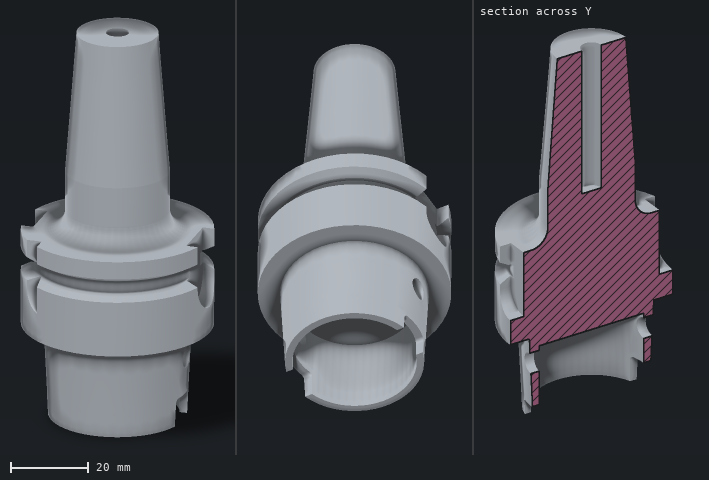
import cadquery as cq
import math

total_height = 105.0

taper_length = 25.0
taper_base_radius = 19.2
taper_slope = 0.05
taper_end_radius = taper_base_radius - taper_slope * taper_length
hollow_radius = 16.1
hollow_depth = 22.0
cross_hole_diameter = 6.0
cross_hole_height = 17.7
tool_bore_diameter = 6.0
tool_bore_depth = 42.0

flange_radius = 25.0
flange_width = 26.0
flange_top = taper_length + flange_width
groove_radius = 21.4
groove_flank_inner_radius = 22.4
groove_floor_width = 3.5
groove_height = taper_length + 18.1
groove_flank_rise = 1.5

neck_radius = 13.5
neck_fillet = 5.0
nose_cone_start = 67.1
nose_tip_radius = 10.6

flange_slot_floor = 20.9
flange_slot_bottom = 32.2
narrow_slot_width = 12.0
wide_slot_width = 14.0
notch_inner_x = -15.5
notch_inner_y = -15.5

drive_slot_width = 10.3
drive_slot_corner_radius = 1.0
short_drive_slot_height = 4.7
tall_drive_slot_height = 7.5


def turned_body():
    groove_low = groove_height - groove_floor_width / 2
    groove_high = groove_height + groove_floor_width / 2
    arc_offset = neck_fillet * (1 - math.sqrt(0.5))
    return (
        cq.Workplane("XZ")
        .moveTo(0, 0)
        .lineTo(taper_end_radius, 0)
        .lineTo(taper_base_radius, taper_length)
        .lineTo(flange_radius, taper_length)
        .lineTo(flange_radius, groove_low - groove_flank_rise)
        .lineTo(groove_flank_inner_radius, groove_low)
        .lineTo(groove_radius, groove_low)
        .lineTo(groove_radius, groove_high)
        .lineTo(groove_flank_inner_radius, groove_high)
        .lineTo(flange_radius, groove_high + groove_flank_rise)
        .lineTo(flange_radius, flange_top)
        .lineTo(neck_radius + neck_fillet, flange_top)
        .threePointArc(
            (neck_radius + arc_offset, flange_top + arc_offset),
            (neck_radius, flange_top + neck_fillet),
        )
        .lineTo(neck_radius, nose_cone_start)
        .lineTo(nose_tip_radius, total_height)
        .lineTo(0, total_height)
        .close()
        .revolve(360, (0, 0), (0, 1))
    )


def round_bottom_slot(width, x_start, x_end, y_center):
    """Slot cutter along X, open at the flange top, with a half-round bottom."""
    radius = width / 2
    return (
        cq.Workplane("YZ", origin=(x_start, y_center, 0))
        .moveTo(-radius, flange_top)
        .lineTo(-radius, flange_slot_bottom + radius)
        .threePointArc((0, flange_slot_bottom), (radius, flange_slot_bottom + radius))
        .lineTo(radius, flange_top)
        .close()
        .extrude(x_end - x_start)
    )


def drive_slot(height, side):
    """Rounded slot through one wall of the taper; side is -1 or +1 along X."""
    return (
        cq.Workplane("XY")
        .box(taper_base_radius, drive_slot_width, height, centered=(True, True, False))
        .edges("|X and >Z")
        .fillet(drive_slot_corner_radius)
        .translate((side * taper_base_radius / 2, 0, 0))
    )


result = turned_body()

result = result.cut(cq.Workplane("XY").circle(hollow_radius).extrude(hollow_depth))
result = result.cut(
    cq.Workplane("XY", origin=(0, 0, total_height))
    .circle(tool_bore_diameter / 2)
    .extrude(-tool_bore_depth)
)

result = result.cut(
    cq.Workplane("YZ")
    .center(0, cross_hole_height)
    .circle(cross_hole_diameter / 2)
    .extrude(taper_base_radius, both=True)
)

result = result.cut(round_bottom_slot(narrow_slot_width, -flange_radius, -flange_slot_floor, 0))
result = result.cut(round_bottom_slot(wide_slot_width, flange_slot_floor, flange_radius, 0))
notch_center_y = notch_inner_y - narrow_slot_width / 2
result = result.cut(
    round_bottom_slot(narrow_slot_width, -flange_radius, notch_inner_x, notch_center_y)
)

result = result.cut(drive_slot(short_drive_slot_height, -1))
result = result.cut(drive_slot(tall_drive_slot_height, 1))